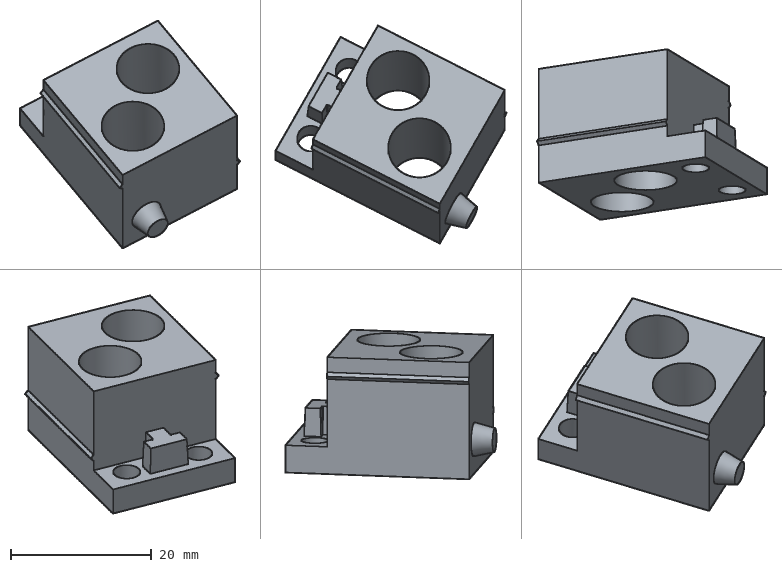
import cadquery as cq

length = 29.5
height = 17.0
width = 19.5

flange_length = 6.05
flange_height = 3.98
body_end = 26.55
body_length = body_end - flange_length

screw_hole_diameter = 3.84
screw_hole_x = 3.55
screw_hole_offset = 5.75
bore_diameter = 8.9
bore_centers = [(12.5, 3.8), (20.0, -3.7)]

key_start = 1.5
key_head_end = 3.95
key_head_width = 6.05
key_stem_width = 3.07
key_height = 4.07
key_draft = 2.0

ridge_depth = 0.5
front_ridge_height = 14.3
back_ridge_height = 6.05

peg_y = -5.7
peg_z = 5.0
peg_base_diameter = 4.87
peg_tip_diameter = 3.42
peg_length = length - body_end


def block(start, size_x, size_z):
    """Box standing on the base plane and centred across the width."""
    return cq.Workplane("XY").box(size_x, width, size_z, centered=(False, True, False)).translate((start, 0, 0))


def make_key():
    """T-shaped key with drafted sides; its stem runs into the body to hide the drafted end."""
    stem_end = flange_length + key_stem_width / 2
    outline = [
        (key_start, key_head_width / 2),
        (key_head_end, key_head_width / 2),
        (key_head_end, key_stem_width / 2),
        (stem_end, key_stem_width / 2),
        (stem_end, -key_stem_width / 2),
        (key_head_end, -key_stem_width / 2),
        (key_head_end, -key_head_width / 2),
        (key_start, -key_head_width / 2),
    ]
    return (
        cq.Workplane("XY", origin=(0, 0, flange_height))
        .polyline(outline)
        .close()
        .extrude(key_height, taper=key_draft)
    )


def make_ridge(side, tip_height):
    """45-degree ridge along the body; side is -1 for -Y and 1 for +Y."""
    wall = side * width / 2
    profile = [
        (wall, tip_height - ridge_depth),
        (wall + side * ridge_depth, tip_height),
        (wall, tip_height + ridge_depth),
    ]
    return cq.Workplane("YZ", origin=(flange_length, 0, 0)).polyline(profile).close().extrude(body_length)


def make_peg():
    """Truncated cone pointing along +X."""
    cone = cq.Solid.makeCone(
        peg_base_diameter / 2,
        peg_tip_diameter / 2,
        peg_length,
        cq.Vector(body_end, peg_y, peg_z),
        cq.Vector(1, 0, 0),
    )
    return cq.Workplane(obj=cone)


def make_holes(centers, diameter):
    """Vertical cylinders through the full height."""
    return cq.Workplane("XY").pushPoints(centers).circle(diameter / 2).extrude(height)


screw_hole_centers = [(screw_hole_x, side * screw_hole_offset) for side in (-1, 1)]

result = (
    block(0, body_end, flange_height)
    .union(block(flange_length, body_length, height))
    .union(make_key())
    .union(make_ridge(-1, front_ridge_height))
    .union(make_ridge(1, back_ridge_height))
    .union(make_peg())
    .cut(make_holes(screw_hole_centers, screw_hole_diameter))
    .cut(make_holes(bore_centers, bore_diameter))
)